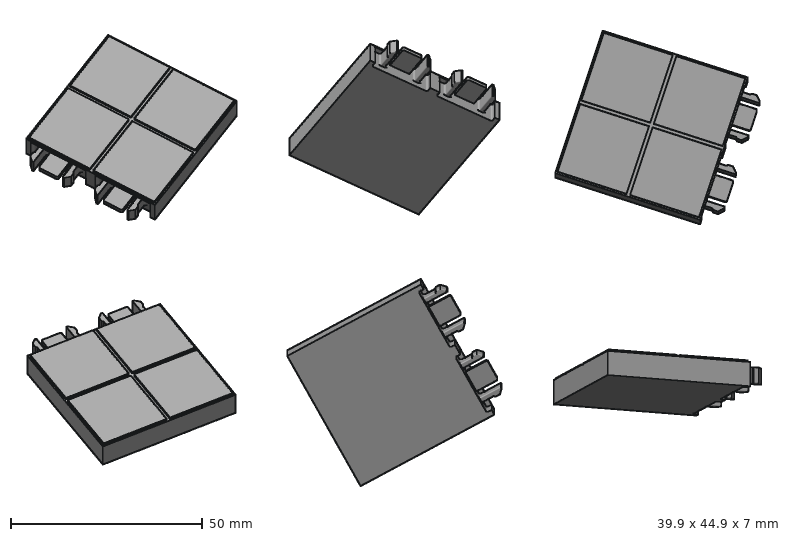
import cadquery as cq

body_size = 39.9
body_height = 6.5
total_depth = 44.9
total_height = 7.0
body_front = -body_size / 2

cells_per_side = 2
cell_pitch = body_size / cells_per_side
cell_centers = [(i - (cells_per_side - 1) / 2) * cell_pitch for i in range(cells_per_side)]
tile_gap = 1.0
tile_size = cell_pitch - tile_gap

recess_width = 17.0
recess_depth = 1.5
recess_height = 6.0
recess_back = body_front + recess_depth
root_radius = 0.5

reach = total_depth - body_size
tip_y = body_front - reach
tab_width = 5.95
tab_thickness = 1.2
tab_bottom = 3.55
tab_corner_radius = 0.5

hook_spacing = 9.02
hook_thickness = 1.45
hook_bottom = 1.7
hook_height = recess_height - hook_bottom
hook_edge_radius = 0.3
barb_height = 0.35
barb_start = 2.0
barb_flat_end = 3.73
tip_width = 0.5

overlap = 0.45


def make_body():
    """Square plate with one raised tile on each cell."""
    body = cq.Workplane("XY").box(body_size, body_size, body_height, centered=(True, True, False))
    tiles = (
        cq.Workplane("XY")
        .workplane(offset=body_height)
        .pushPoints([(x, y) for x in cell_centers for y in cell_centers])
        .rect(tile_size, tile_size)
        .extrude(total_height - body_height)
    )
    return body.union(tiles)


def make_recess():
    """Volume removed from the front face, with rounded back corners."""
    return (
        cq.Workplane("XY")
        .box(recess_width, 2 * recess_depth, recess_height, centered=(True, True, False))
        .edges("|Z and >Y")
        .fillet(root_radius)
        .translate((0, body_front, 0))
    )


def make_tab():
    """Flat tongue in the middle of a recess, with rounded front corners."""
    length = recess_back + overlap - tip_y
    return (
        cq.Workplane("XY")
        .box(tab_width, length, tab_thickness, centered=(True, False, False))
        .edges("|Z and <Y")
        .fillet(tab_corner_radius)
        .translate((0, tip_y, tab_bottom))
    )


def make_hook():
    """Snap hook on the +X side of a recess: barb facing +X, flared root, rounded bottom edges."""
    inner_x = hook_spacing / 2
    outer_x = inner_x + hook_thickness
    barb_x = outer_x + barb_height
    barb_y = body_front - barb_start
    flare_y = recess_back - root_radius
    sunk_y = recess_back + overlap
    return (
        cq.Workplane("XY")
        .workplane(offset=hook_bottom)
        .moveTo(inner_x - root_radius, sunk_y)
        .lineTo(inner_x - root_radius, recess_back)
        .radiusArc((inner_x, flare_y), root_radius)
        .lineTo(inner_x, tip_y)
        .lineTo(inner_x + tip_width, tip_y)
        .lineTo(barb_x, body_front - barb_flat_end)
        .lineTo(barb_x, barb_y - barb_height)
        .lineTo(outer_x, barb_y)
        .lineTo(outer_x, flare_y)
        .radiusArc((outer_x + root_radius, recess_back), root_radius)
        .lineTo(outer_x + root_radius, sunk_y)
        .close()
        .extrude(hook_height)
        .faces("<Z")
        .edges("not >Y")
        .fillet(hook_edge_radius)
    )


right_hook = make_hook()
connector = make_tab().union(right_hook).union(right_hook.mirror("YZ"))

result = make_body()
for x in cell_centers:
    result = result.cut(make_recess().translate((x, 0, 0)))
    result = result.union(connector.translate((x, 0, 0)))